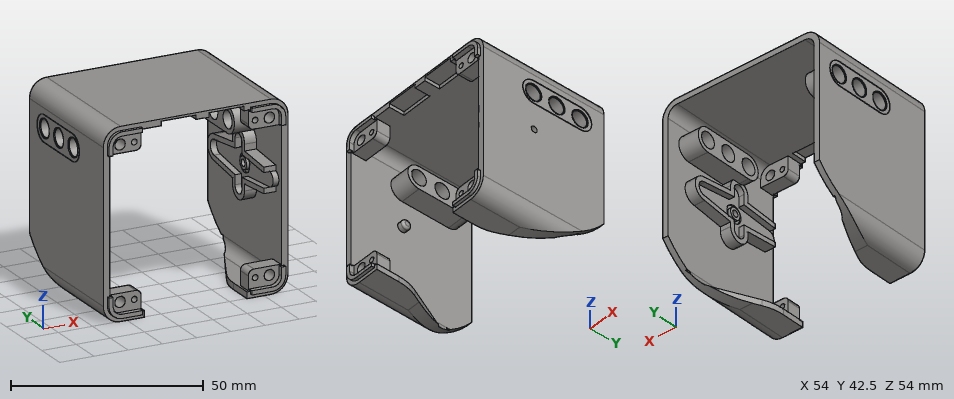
import cadquery as cq
import math

SIZE = 54.0
SHELL_LENGTH = 41.5
WALL = 1.9
CORNER_RADIUS = 5.0
FLOOR_EDGE = 12.0
LIP_LENGTH = 0.95
FRONT = LIP_LENGTH
BACK = FRONT + SHELL_LENGTH
MIDDLE = SIZE / 2

BACK_CUT_START = 17.8
BACK_CUT_HEIGHT = 11.75
FLOOR_TRIM_START = 12.15
FLOOR_TRIM_ANGLE = math.radians(25)
FLOOR_TRIM_RADIUS = 16.0

BLOCK_WIDTH = 11.35
BLOCK_HEIGHT = 7.65
BLOCK_DEPTH = 5.0
BLOCK_FILLET = 1.6
FACE_RECESS = 0.55
LIP_OUTER_INSET = 1.2
LIP_INNER_INSET = 2.4
LIP_WIDTH = 11.0
LIP_HEIGHT = 7.45
HOLE_Z = 5.25
CORNER_HOLES = ((5.2, 3.0), (9.35, 1.6))

BUTTON_COUNT = 3
BUTTON_PITCH = 8.0
BUTTON_Y = 26.45
BUTTON_Z = 43.25
BUTTON_HOLE = 5.0
BUTTON_RIM = 5.5
BUTTON_RIM_DEPTH = 0.5
BOSS_HEIGHT = 7.65
BOSS_REACH = 8.6
PANEL_RECESS = 0.15

PIVOT_Y = 18.45
PIVOT_Z = 30.5
PIN_DIAMETER = 3.0
PIN_LENGTH = 2.1
PIN_FILLET = 0.75

HOLDER_HEIGHT = 3.5
POCKET_DEPTH = 1.85
RIM = 1.5
FRONT_ARM = 14.2
FRONT_ROOT = 3.35
FRONT_TIP = 2.15
FRONT_FLOOR_ARM = 13.75
BACK_ARM = 13.65
BACK_ROOT = 3.95
BACK_TIP = 2.15
UPRIGHT_ARM = 6.5
UPRIGHT_RADIUS = 1.9
HUB_DIAMETER = 3.8
HUB_STEP = 0.5
MOAT_DIAMETER = 5.5
SCREW_HOLE = 2.0

NOTCH_STARTS = (16.95, 30.95)
NOTCH_WIDTH = 10.15
NOTCH_DEPTH = 1.25
NOTCH_LENGTH = 5.0


def block(x0, x1, y0, y1, z0, z1):
    return cq.Workplane("XY").box(x1 - x0, y1 - y0, z1 - z0, centered=False).translate((x0, y0, z0))


def rounded_bar(inset, y0, y1):
    """Square bar along Y whose sides lie `inset` inside the outer sides of the shell."""
    side = SIZE - 2 * inset
    bar = cq.Workplane("XY").box(side, y1 - y0, side).edges("|Y").fillet(CORNER_RADIUS - inset)
    return bar.translate((MIDDLE, (y0 + y1) / 2, MIDDLE))


def side_plane(x):
    """Sketch plane facing +X, with its own axes along Y and Z."""
    return cq.Workplane("YZ", origin=(x, 0, 0))


def pivot_plane(x):
    return cq.Workplane("YZ", origin=(x, PIVOT_Y, PIVOT_Z))


def both_sides(part):
    return part.union(part.mirror("YZ", (MIDDLE, 0, 0)))


def four_corners(part):
    return both_sides(part.union(part.mirror("XY", (0, 0, MIDDLE))))


def make_shell():
    shell = rounded_bar(0, FRONT, BACK).cut(rounded_bar(WALL, FRONT, BACK))
    return shell.cut(block(FLOOR_EDGE, SIZE - FLOOR_EDGE, FRONT, BACK, 0, WALL))


def back_cut():
    """Arc that leaves the underside tangentially and climbs to the back edge."""
    run = BACK - BACK_CUT_START
    radius = (run**2 + BACK_CUT_HEIGHT**2) / (2 * BACK_CUT_HEIGHT)
    half_angle = math.atan2(BACK_CUT_HEIGHT, run)
    halfway = (BACK_CUT_START + radius * math.sin(half_angle), radius * (1 - math.cos(half_angle)))
    outline = side_plane(0).moveTo(BACK_CUT_START, 0).threePointArc(halfway, (BACK, BACK_CUT_HEIGHT))
    return outline.lineTo(BACK, 0).close().extrude(SIZE)


def floor_trim():
    """Space behind the slanted back end of the left floor strip, whose free corner is rounded."""
    tangent = FLOOR_TRIM_RADIUS * math.tan(FLOOR_TRIM_ANGLE / 2)
    arc_start = (FLOOR_EDGE, FLOOR_TRIM_START - tangent)
    arc_end = (
        FLOOR_EDGE - tangent * math.sin(FLOOR_TRIM_ANGLE),
        FLOOR_TRIM_START + tangent * math.cos(FLOOR_TRIM_ANGLE),
    )
    slant_end = (0, FLOOR_TRIM_START + FLOOR_EDGE / math.tan(FLOOR_TRIM_ANGLE))
    outline = cq.Workplane("XY").moveTo(FLOOR_EDGE, FRONT).lineTo(*arc_start)
    outline = outline.tangentArcPoint(arc_end, relative=False)
    outline = outline.lineTo(*slant_end).lineTo(0, BACK).lineTo(FLOOR_EDGE, BACK).close()
    return outline.extrude(CORNER_RADIUS)


def corner_block():
    body = block(0, BLOCK_WIDTH, FRONT, FRONT + BLOCK_DEPTH, 0, BLOCK_HEIGHT)
    body = body.edges("|Y and >X and >Z").fillet(BLOCK_FILLET)
    body = body.intersect(rounded_bar(0, FRONT, FRONT + BLOCK_DEPTH))
    return body.cut(rounded_bar(LIP_INNER_INSET, FRONT, FRONT + FACE_RECESS))


def corner_lip():
    ring = rounded_bar(LIP_OUTER_INSET, 0, FRONT).cut(rounded_bar(LIP_INNER_INSET, 0, FRONT))
    return ring.intersect(block(0, LIP_WIDTH, 0, FRONT, 0, LIP_HEIGHT))


def corner_hole(x, diameter):
    return cq.Workplane("XZ").center(x, HOLE_Z).circle(diameter / 2).extrude(-(FRONT + BLOCK_DEPTH))


def button_slot(x0, x1):
    length = (BUTTON_COUNT - 1) * BUTTON_PITCH + BOSS_HEIGHT
    return side_plane(x0).center(BUTTON_Y, BUTTON_Z).slot2D(length, BOSS_HEIGHT).extrude(x1 - x0)


def button_holes(diameter, depth):
    row = side_plane(0).center(BUTTON_Y, BUTTON_Z).rarray(BUTTON_PITCH, 0.55, BUTTON_COUNT, 1)
    return row.circle(diameter / 2).extrude(depth)


def taper(x0, depth, reach, root, tip):
    """Tapered arm from the pivot along Y; `root` and `tip` are half widths."""
    outline = [(0, root), (reach, tip), (reach, -tip), (0, -root)]
    return pivot_plane(x0).polyline(outline).close().extrude(depth)


def disc(x0, depth, diameter, y_offset=0.0):
    return pivot_plane(x0).center(y_offset, 0).circle(diameter / 2).extrude(depth)


def cross(x0, depth, margin):
    """Pocket outline grown by `margin`; the front arm ends square."""
    back_tip = BACK_TIP + margin
    upright_width = 2 * (UPRIGHT_RADIUS + margin)
    upright = pivot_plane(x0).slot2D(2 * UPRIGHT_ARM + upright_width, upright_width, 90).extrude(depth)
    front = taper(x0, depth, -FRONT_ARM, FRONT_ROOT + margin, FRONT_TIP + margin)
    back = taper(x0, depth, BACK_ARM, BACK_ROOT + margin, back_tip)
    return upright.union(front).union(back).union(disc(x0, depth, 2 * back_tip, BACK_ARM))


def arm_holder():
    wall_x = SIZE - WALL
    rim_x = wall_x - HOLDER_HEIGHT
    floor_x = rim_x + POCKET_DEPTH
    hub_x = floor_x - HUB_STEP
    moat_x = floor_x + HUB_STEP
    holder = cross(rim_x, HOLDER_HEIGHT, RIM).cut(cross(rim_x, POCKET_DEPTH, 0))
    holder = holder.union(disc(floor_x, wall_x - floor_x, 2 * FRONT_TIP, -FRONT_FLOOR_ARM))
    holder = holder.cut(disc(floor_x, HUB_STEP, MOAT_DIAMETER))
    return holder.union(disc(hub_x, moat_x - hub_x, HUB_DIAMETER))


def pivot_pin():
    return disc(WALL, PIN_LENGTH, PIN_DIAMETER).faces(">X").edges().fillet(PIN_FILLET)


def roof_notch(x):
    inner_z = SIZE - WALL
    return block(x, x + NOTCH_WIDTH, FRONT, FRONT + NOTCH_LENGTH, inner_z, inner_z + NOTCH_DEPTH)


result = make_shell().cut(both_sides(floor_trim())).cut(back_cut())
result = result.union(four_corners(corner_block())).union(four_corners(corner_lip()))
for hole_x, hole_diameter in CORNER_HOLES:
    result = result.cut(four_corners(corner_hole(hole_x, hole_diameter)))

result = result.union(both_sides(button_slot(WALL, BOSS_REACH)))
result = result.cut(both_sides(button_slot(0, PANEL_RECESS)))
result = result.cut(button_holes(BUTTON_HOLE, SIZE))
result = result.cut(both_sides(button_holes(BUTTON_RIM, BUTTON_RIM_DEPTH)))

result = result.union(pivot_pin()).union(arm_holder())
result = result.cut(disc(MIDDLE, MIDDLE, SCREW_HOLE))

for notch_x in NOTCH_STARTS:
    result = result.cut(roof_notch(notch_x))